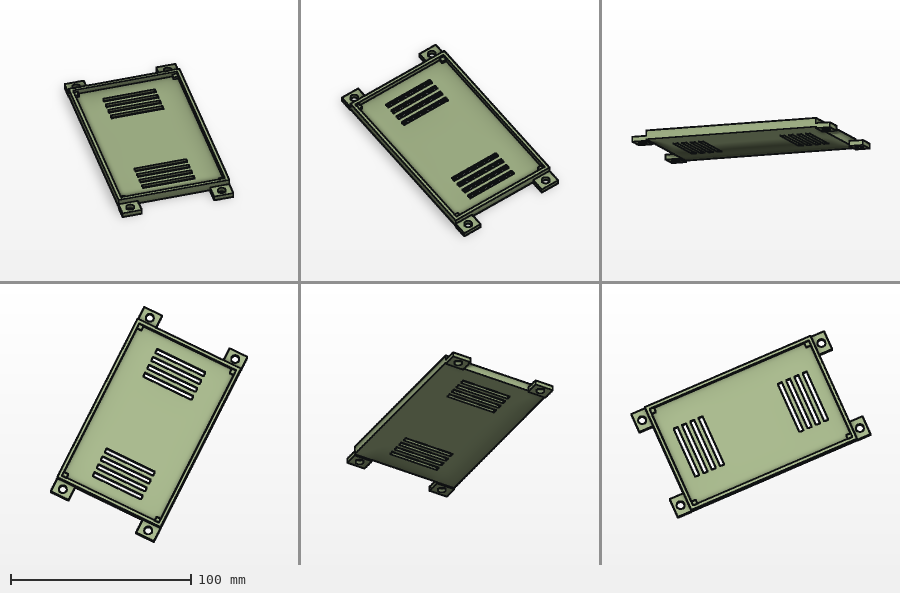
import cadquery as cq

overall_length = 117.0
tray_width = 64.0
overall_height = 5.8

tray_length = 100.6
tray_height = 5.0
wall = 2.0
floor_thickness = 2.0
tray_bottom = overall_height - tray_height
floor_top = tray_bottom + floor_thickness
cavity_length = tray_length - 2 * wall
cavity_width = tray_width - 2 * wall

post_side = 2.7
post_height = 1.5

tab_length = (overall_length - tray_length) / 2
tab_width = 11.1
tab_thickness = 2.8
hole_diameter = 4.5

slot_count = 4
slot_width = 2.5
slot_length = 30.0
slot_pitch = 5.0
slot_end_margin = 10.0


def box(length, width, height, x, y, bottom):
    """Box centred on (x, y) and standing on the given level."""
    return cq.Workplane("XY").box(length, width, height, centered=(True, True, False)).translate((x, y, bottom))


def corner_points(x, y):
    """Four points mirrored about both centre planes."""
    return [(side_x * x, side_y * y) for side_x in (-1, 1) for side_y in (-1, 1)]


def make_tray():
    outer = box(tray_length, tray_width, tray_height, 0, 0, tray_bottom)
    cavity = box(cavity_length, cavity_width, tray_height, 0, 0, floor_top)
    return outer.cut(cavity)


def add_posts(body):
    for x, y in corner_points((cavity_length - post_side) / 2, (cavity_width - post_side) / 2):
        body = body.union(box(post_side, post_side, post_height, x, y, floor_top))
    return body


def add_tabs(body):
    for x, y in corner_points((tray_length + tab_length) / 2, (tray_width - tab_width) / 2):
        tab = box(tab_length, tab_width, tab_thickness, x, y, 0)
        hole = cq.Workplane("XY").center(x, y).circle(hole_diameter / 2).extrude(tab_thickness)
        body = body.union(tab.cut(hole))
    return body


def cut_slots(body):
    outermost_x = tray_length / 2 - slot_end_margin - slot_width / 2
    for side in (-1, 1):
        for index in range(slot_count):
            x = side * (outermost_x - index * slot_pitch)
            body = body.cut(box(slot_width, slot_length, floor_thickness, x, 0, tray_bottom))
    return body


result = cut_slots(add_tabs(add_posts(make_tray())))